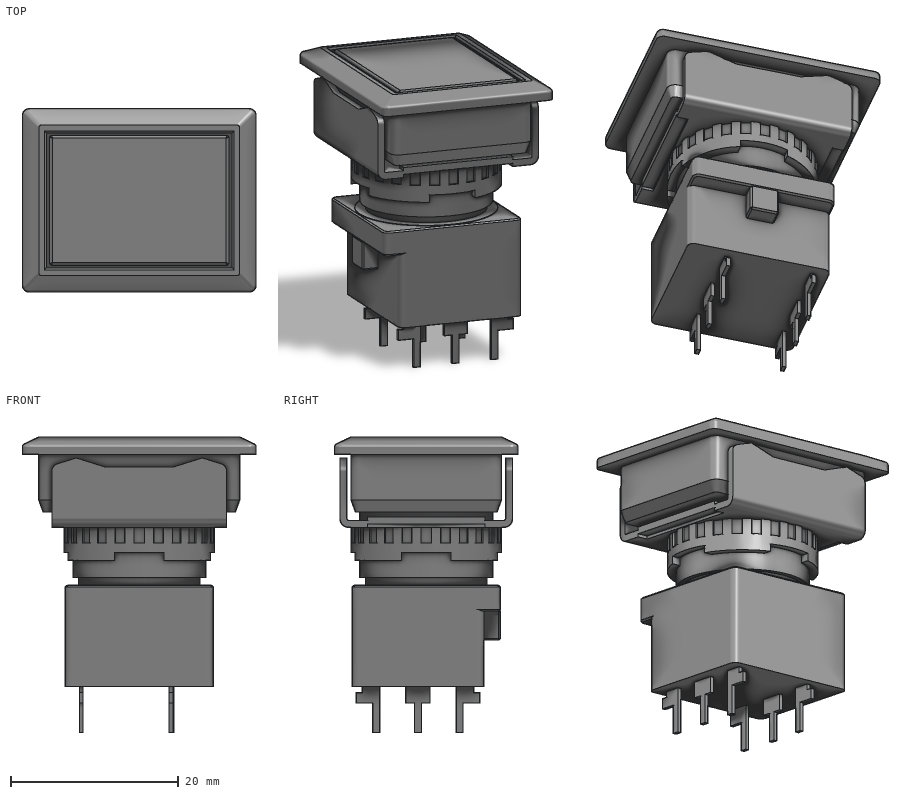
import cadquery as cq


SMALL = 0.05

BEZEL_X, BEZEL_Y = 28.0, 22.0
BEZEL_BOTTOM = -2.1
BEZEL_SLOPE_INSET = 2.0
BEZEL_SLOPE_DROP = 0.95
BEZEL_CORNER_R = 0.9
BEZEL_RIM_R = 0.42
WINDOW_X, WINDOW_Y = 22.73, 16.65
WINDOW_BEVEL = 0.25
CAP_X, CAP_Y = 21.45, 15.58
CAP_BEVEL = 0.32
CAP_CORNER_BEVEL = 0.2
GROOVE_DEPTH = 0.7

HOUSING_X, HOUSING_Y = 24.07, 18.02
HOUSING_CORNER_R = 1.05
HOUSING_TAPER_TOP = -7.55
HOUSING_BOTTOM = -9.0
HOUSING_TAPER_INSET = 0.53
BARREL_R = 7.95
BARREL_BOTTOM = -16.85
NECK_R = 7.3

BRACKET_X, BRACKET_Y = 20.92, 20.67
BRACKET_BOTTOM = -10.85
BRACKET_THICKNESS = 0.85
BRACKET_BEND_R = 1.05
ARM_PEAK = -2.5
ARM_PEAK_X = 7.55
ARM_VALLEY = -3.6
ARM_VALLEY_X = 4.05
ARM_CORNER_R = 0.92
TONGUE_LENGTH = 14.05
TONGUE_WIDTH = 1.4
TONGUE_RAISE = 0.4

NUT_R = 9.03
NUT_BOTTOM = -14.75
GRIP_SLOTS = 24
GRIP_WIDTH = 1.2
GRIP_DEPTH = 0.3
GRIP_LENGTH = 1.88
NOTCHES = 4
NOTCH_WIDTH = 5.88
NOTCH_HEIGHT = 0.92

BLOCK_SIDE = 17.77
BLOCK_TOP = -17.8
BLOCK_BOTTOM = -29.88
BLOCK_CORNER_R = 0.8
BLOCK_BEVEL = 0.18
LEDGE_BOTTOM = -20.85
LEDGE_BEVEL = 0.2
LEDGE_REACH = 2.0
LOWER_Y = BLOCK_SIDE - LEDGE_REACH
LOWER_CENTRE_Y = -LEDGE_REACH / 2
LATCH_WIDTH = 3.55
LATCH_BOTTOM = -24.32
LATCH_BEVEL = 0.2
SEAT_R = 8.55
SEAT_HEIGHT = 0.07

TIP = -35.4
TERMINAL_THICKNESS = 0.45
TERMINAL_COLUMNS_X = (-6.95, 3.8)
TERMINAL_PITCH = 5.0
MIDDLE_SHIFT_X = 0.15
PIN_WIDTH = 0.85
SHOULDER_TOP = -30.6
SHOULDER_BOTTOM = -31.85
SHOULDER_WIDTH = 2.83
ROOT_WIDTH = 2.12
MIDDLE_SHOULDER_WIDTH = 2.95


def box(x_size, y_size, bottom, top):
    """Box centred on the Z axis between two heights."""
    return cq.Workplane("XY").workplane(offset=bottom).rect(x_size, y_size).extrude(top - bottom)


def cylinder(radius, bottom, top):
    """Cylinder on the Z axis between two heights."""
    return cq.Workplane("XY").workplane(offset=bottom).circle(radius).extrude(top - bottom)


def frustum(x_size, y_size, bottom, top, inset):
    """Rectangular frustum whose top is smaller by the inset on every side."""
    return (
        cq.Workplane("XY").workplane(offset=bottom).rect(x_size, y_size)
        .workplane(offset=top - bottom).rect(x_size - 2 * inset, y_size - 2 * inset)
        .loft(ruled=True)
    )


def rounded_box(x_size, y_size, bottom, top, corner_radius):
    """Box whose four upright edges are rounded."""
    return box(x_size, y_size, bottom, top).edges("|Z").fillet(corner_radius)


def rounded_loft(lower, upper):
    """Straight-sided loft between two rounded rectangles given as (x size, y size, radius, height)."""
    sections = [
        cq.Sketch().rect(x_size, y_size).vertices().fillet(radius)
        .moved(cq.Location(cq.Vector(0, 0, height)))
        for x_size, y_size, radius, height in (lower, upper)
    ]
    return cq.Workplane("XY").placeSketch(*sections).loft(ruled=True)



def make_bezel():
    face_x = BEZEL_X - 2 * BEZEL_SLOPE_INSET
    face_y = BEZEL_Y - 2 * BEZEL_SLOPE_INSET
    bezel = rounded_box(BEZEL_X, BEZEL_Y, BEZEL_BOTTOM, 0, BEZEL_CORNER_R)
    slope_run = BEZEL_SLOPE_INSET / BEZEL_SLOPE_DROP * -BEZEL_BOTTOM
    pyramid = frustum(face_x + 2 * slope_run, face_y + 2 * slope_run, BEZEL_BOTTOM, 0, slope_run)
    pyramid = pyramid.edges("not (|X or |Y)").fillet(BEZEL_CORNER_R)
    bezel = bezel.intersect(pyramid)
    rim_zone = cq.selectors.BoxSelector(
        (-BEZEL_X, -BEZEL_Y, -BEZEL_SLOPE_DROP - SMALL), (BEZEL_X, BEZEL_Y, -BEZEL_SLOPE_DROP / 2 - SMALL)
    )
    return bezel.edges(rim_zone).fillet(BEZEL_RIM_R)


def make_window():
    """Groove between the bezel and the cap, with a beveled mouth."""
    window = box(WINDOW_X - 2 * WINDOW_BEVEL, WINDOW_Y - 2 * WINDOW_BEVEL, -GROOVE_DEPTH, 0)
    mouth = frustum(WINDOW_X - 2 * WINDOW_BEVEL, WINDOW_Y - 2 * WINDOW_BEVEL,
                    -WINDOW_BEVEL, 0, -WINDOW_BEVEL)
    cap = box(CAP_X, CAP_Y, -GROOVE_DEPTH, 0)
    cap = cap.edges("|Z").chamfer(CAP_CORNER_BEVEL)
    cap = cap.faces(">Z").chamfer(CAP_BEVEL)
    return window.union(mouth).cut(cap)


def make_housing():
    narrow_x = HOUSING_X - 2 * HOUSING_TAPER_INSET
    narrow_y = HOUSING_Y - 2 * HOUSING_TAPER_INSET
    narrow_corner_r = HOUSING_CORNER_R - HOUSING_TAPER_INSET
    housing = rounded_box(HOUSING_X, HOUSING_Y, HOUSING_TAPER_TOP, BEZEL_BOTTOM, HOUSING_CORNER_R)
    taper = rounded_loft(
        (narrow_x, narrow_y, narrow_corner_r, HOUSING_BOTTOM),
        (HOUSING_X, HOUSING_Y, HOUSING_CORNER_R, HOUSING_TAPER_TOP),
    )
    return housing.union(taper)


def make_operator():
    operator = make_bezel().cut(make_window()).union(make_housing())
    operator = operator.union(cylinder(BARREL_R, BARREL_BOTTOM, HOUSING_BOTTOM))
    return operator.union(cylinder(NECK_R, BLOCK_TOP + SEAT_HEIGHT, BARREL_BOTTOM))



def make_arm_outline():
    """Arm shape seen along Y, with two rounded peaks and a flat valley."""
    half = BRACKET_X / 2
    slope = (ARM_PEAK - ARM_VALLEY) / (ARM_PEAK_X - ARM_VALLEY_X)
    shoulder = ARM_PEAK - slope * (half - ARM_PEAK_X)
    outline = [
        (-half, BRACKET_BOTTOM), (half, BRACKET_BOTTOM),
        (half, shoulder), (ARM_PEAK_X, ARM_PEAK), (ARM_VALLEY_X, ARM_VALLEY),
        (-ARM_VALLEY_X, ARM_VALLEY), (-ARM_PEAK_X, ARM_PEAK), (-half, shoulder),
    ]
    arm = cq.Workplane("XZ").polyline(outline).close().extrude(BRACKET_Y / 2, both=True)
    corners = cq.selectors.BoxSelector(
        (-BRACKET_X, -BRACKET_Y, shoulder - SMALL), (BRACKET_X, BRACKET_Y, shoulder + SMALL)
    )
    return arm.edges("|Y").edges(corners).fillet(ARM_CORNER_R)


def make_bracket():
    base_top = BRACKET_BOTTOM + BRACKET_THICKNESS
    bracket = box(BRACKET_X, BRACKET_Y, BRACKET_BOTTOM, ARM_PEAK)
    bracket = bracket.edges("|X and <Z").fillet(BRACKET_BEND_R)
    inside = box(BRACKET_X, BRACKET_Y - 2 * BRACKET_THICKNESS, base_top, ARM_PEAK)
    inside = inside.edges("|X and <Z").fillet(BRACKET_BEND_R - BRACKET_THICKNESS)
    bracket = bracket.cut(inside).intersect(make_arm_outline())
    for side in (-1, 1):
        tongue_x = side * (BRACKET_X - TONGUE_WIDTH) / 2
        tongue = box(TONGUE_WIDTH, TONGUE_LENGTH, base_top, base_top + TONGUE_RAISE)
        relief = box(TONGUE_WIDTH, TONGUE_LENGTH, BRACKET_BOTTOM, BRACKET_BOTTOM + TONGUE_RAISE)
        bracket = bracket.union(tongue.translate((tongue_x, 0, 0)))
        bracket = bracket.cut(relief.translate((tongue_x, 0, 0)))
    return bracket.cut(cylinder(BARREL_R, BRACKET_BOTTOM, ARM_PEAK))



def make_nut():
    nut = cylinder(NUT_R, NUT_BOTTOM, BRACKET_BOTTOM)
    slot_ring = cylinder(NUT_R, BRACKET_BOTTOM - GRIP_LENGTH, BRACKET_BOTTOM).cut(
        cylinder(NUT_R - GRIP_DEPTH, BRACKET_BOTTOM - GRIP_LENGTH, BRACKET_BOTTOM)
    )
    bar = box(2 * NUT_R, GRIP_WIDTH, BRACKET_BOTTOM - GRIP_LENGTH, BRACKET_BOTTOM)
    for index in range(GRIP_SLOTS // 2):
        slot_pair = slot_ring.intersect(bar.rotate((0, 0, 0), (0, 0, 1), index * 360 / GRIP_SLOTS))
        nut = nut.cut(slot_pair)
    notch = box(2 * NUT_R, NOTCH_WIDTH, NUT_BOTTOM, NUT_BOTTOM + NOTCH_HEIGHT)
    for index in range(NOTCHES // 2):
        nut = nut.cut(notch.rotate((0, 0, 0), (0, 0, 1), index * 360 / NOTCHES))
    return nut.cut(cylinder(BARREL_R, NUT_BOTTOM, BRACKET_BOTTOM))



def make_block_body():
    upper = box(BLOCK_SIDE, BLOCK_SIDE, LEDGE_BOTTOM, BLOCK_TOP)
    upper = upper.edges("|Z").fillet(BLOCK_CORNER_R)
    upper = upper.faces(">Z").chamfer(BLOCK_BEVEL)
    upper = upper.faces("<Z").chamfer(LEDGE_BEVEL)
    lower = box(BLOCK_SIDE, LOWER_Y, BLOCK_BOTTOM, LEDGE_BOTTOM + LEDGE_BEVEL)
    lower = lower.edges("|Z").fillet(BLOCK_CORNER_R).translate((0, LOWER_CENTRE_Y, 0))
    latch = box(LATCH_WIDTH, 2 * LEDGE_REACH, LATCH_BOTTOM, LEDGE_BOTTOM)
    latch = latch.edges("<Z or (|Z and >Y)").chamfer(LATCH_BEVEL)
    latch = latch.translate((0, BLOCK_SIDE / 2 - LEDGE_REACH, 0))
    seat = cylinder(SEAT_R, BLOCK_TOP, BLOCK_TOP + SEAT_HEIGHT)
    return upper.union(lower).union(latch).union(seat)


def make_plate(outline):
    """Terminal plate from its outline in Y and Z, centred on x = 0."""
    return cq.Workplane("YZ").polyline(outline).close().extrude(TERMINAL_THICKNESS / 2, both=True)


def make_middle_terminal():
    shoulder = MIDDLE_SHOULDER_WIDTH / 2
    pin = PIN_WIDTH / 2
    return make_plate([
        (-shoulder, BLOCK_BOTTOM), (-shoulder, SHOULDER_BOTTOM), (-pin, SHOULDER_BOTTOM), (-pin, TIP),
        (pin, TIP), (pin, SHOULDER_BOTTOM), (shoulder, SHOULDER_BOTTOM), (shoulder, BLOCK_BOTTOM),
    ])


def make_outer_terminal():
    """Terminal with its pin at one edge and its shoulder reaching toward +Y."""
    inner = TERMINAL_PITCH - PIN_WIDTH / 2
    return make_plate([
        (inner, BLOCK_BOTTOM), (inner, TIP), (inner + PIN_WIDTH, TIP),
        (inner + PIN_WIDTH, SHOULDER_BOTTOM), (inner + SHOULDER_WIDTH, SHOULDER_BOTTOM),
        (inner + SHOULDER_WIDTH, SHOULDER_TOP), (inner + ROOT_WIDTH, SHOULDER_TOP),
        (inner + ROOT_WIDTH, BLOCK_BOTTOM),
    ])


def make_contact_block():
    block = make_block_body()
    outer = make_outer_terminal()
    middle = make_middle_terminal()
    left_x, right_x = TERMINAL_COLUMNS_X
    for column_x, middle_x in ((left_x, left_x), (right_x, right_x + MIDDLE_SHIFT_X)):
        block = block.union(outer.translate((column_x, LOWER_CENTRE_Y, 0)))
        block = block.union(outer.mirror("XZ").translate((column_x, LOWER_CENTRE_Y, 0)))
        block = block.union(middle.translate((middle_x, LOWER_CENTRE_Y, 0)))
    return block


operator = make_operator()
bracket = make_bracket()
nut = make_nut()
contact_block = make_contact_block()

result = cq.Compound.makeCompound([
    operator.val(),
    bracket.val(),
    nut.val(),
    contact_block.val(),
])